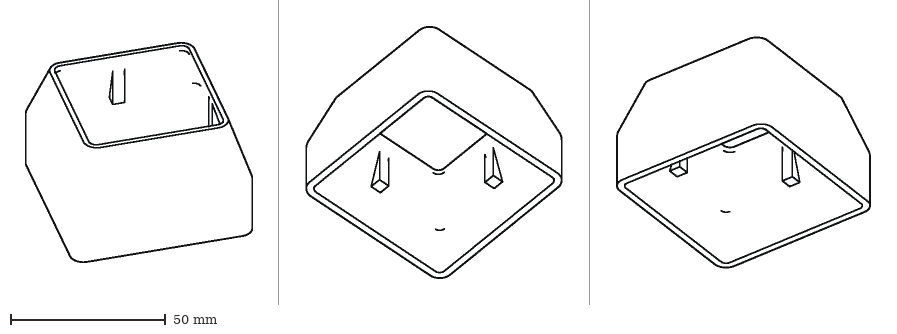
import cadquery as cq

base_width = 61.0
top_width = 48.45
height = 40.0
shoulder_height = height / 2
outer_corner_radius = 4.5
shoulder_fillet = 2.45
selection_margin = 0.6

wall = 2.5
cavity_width = base_width - 2 * wall
opening_width = 45.0
cavity_corner_radius = 2.0
opening_corner_radius = 2.5
lip_height = 2.0
lip_bottom = height - lip_height

rib_width = 4.0
rib_depth = 4.0
rib_inner = cavity_width / 2 - rib_depth
rib_count = 4
rib_embed = 0.6


def rounded_square(width, radius):
    return cq.Sketch().rect(width, width).vertices().fillet(radius)


def prism(width, radius, bottom, top):
    plane = cq.Workplane("XY", origin=(0, 0, bottom))
    return plane.placeSketch(rounded_square(width, radius)).extrude(top - bottom)


def taper(lower, upper, bottom, top):
    """Straight-sided transition between two outlines."""
    plane = cq.Workplane("XY", origin=(0, 0, bottom))
    raised = upper.moved(cq.Location(cq.Vector(0, 0, top - bottom)))
    return plane.placeSketch(lower, raised).loft(ruled=True)


def make_body():
    base = prism(base_width, outer_corner_radius, 0, shoulder_height)
    slope = taper(
        rounded_square(base_width, outer_corner_radius),
        rounded_square(top_width, outer_corner_radius),
        shoulder_height,
        height,
    )
    near_shoulder = cq.selectors.BoxSelector(
        (-base_width, -base_width, shoulder_height - selection_margin),
        (base_width, base_width, shoulder_height + selection_margin),
    )
    return base.union(slope).edges(near_shoulder).fillet(shoulder_fillet)


def make_cavity():
    lower = prism(cavity_width, cavity_corner_radius, 0, shoulder_height)
    slope = taper(
        rounded_square(cavity_width, cavity_corner_radius),
        rounded_square(opening_width, opening_corner_radius),
        shoulder_height,
        lip_bottom,
    )
    lip = prism(opening_width, opening_corner_radius, lip_bottom, height)
    return lower.union(slope).union(lip)


def make_rib():
    """Triangular rib on the +X wall: vertical inner face, flat underside."""
    slope_run = (cavity_width - opening_width) / 2
    slope_rise = lip_bottom - shoulder_height
    rib_top = shoulder_height + slope_rise * rib_depth / slope_run
    return (
        cq.Workplane("XZ")
        .moveTo(rib_inner, shoulder_height)
        .lineTo(cavity_width / 2 + rib_embed, shoulder_height)
        .lineTo(rib_inner + rib_embed, rib_top)
        .lineTo(rib_inner, rib_top)
        .close()
        .extrude(rib_width / 2, both=True)
    )


result = make_body().cut(make_cavity())
for side in range(rib_count):
    result = result.union(make_rib().rotate((0, 0, 0), (0, 0, 1), 360 / rib_count * side))